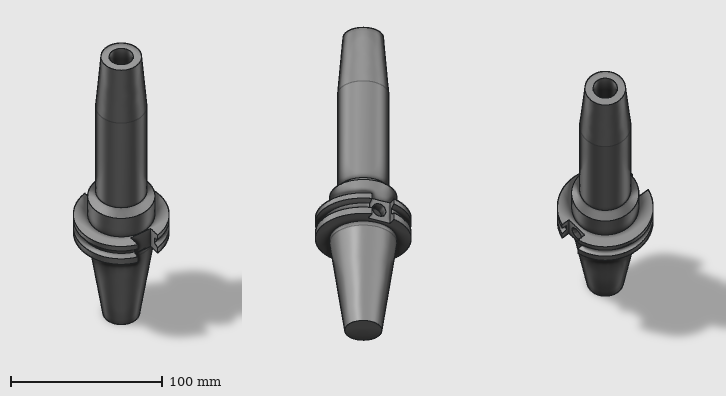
import cadquery as cq

TOTAL_HEIGHT = 228.2
GAUGE_Z = 68.2
FLANGE_BOTTOM_Z = 71.5
FLANGE_THICKNESS = 16.0
HUB_TOP_Z = 103.9
SHOULDER_TOP_Z = 108.6
NOSE_START_Z = 184.2

GAUGE_DIAMETER = 44.5
TAPER_RATIO = 7 / 24
FLANGE_DIAMETER = 63.5
SHANK_DIAMETER = 34.0
NOSE_DIAMETER = 27.0

GROOVE_ROOT_DIAMETER = 56.1
GROOVE_CENTER_Z = 80.0
GROOVE_MOUTH_WIDTH = 7.0
GROOVE_ROOT_WIDTH = 3.9

SLOT_WIDTH = 16.0
LEFT_SLOT_FLOOR = 24.9
RIGHT_SLOT_FLOOR = 22.5

BORE_DIAMETER = 16.0
BORE_DEPTH = 50.2
SIDE_HOLE_DIAMETER = 9.5
SIDE_HOLE_DEPTH = 6.8

flange_top_z = FLANGE_BOTTOM_Z + FLANGE_THICKNESS
flange_radius = FLANGE_DIAMETER / 2
hub_radius = GAUGE_DIAMETER / 2


def make_body():
    """Revolve the taper, flange, hub, shank and conical nose."""
    small_end_radius = (GAUGE_DIAMETER - TAPER_RATIO * GAUGE_Z) / 2
    shank_radius = SHANK_DIAMETER / 2
    profile = [
        (0, 0),
        (small_end_radius, 0),
        (hub_radius, GAUGE_Z),
        (hub_radius, FLANGE_BOTTOM_Z),
        (flange_radius, FLANGE_BOTTOM_Z),
        (flange_radius, flange_top_z),
        (hub_radius, flange_top_z),
        (hub_radius, HUB_TOP_Z),
        (shank_radius, SHOULDER_TOP_Z),
        (shank_radius, NOSE_START_Z),
        (NOSE_DIAMETER / 2, TOTAL_HEIGHT),
        (0, TOTAL_HEIGHT),
    ]
    return cq.Workplane("XZ").polyline(profile).close().revolve(360, (0, 0), (0, 1))


def make_groove():
    """Ring with a trapezoidal section, wider at the flange rim."""
    root_radius = GROOVE_ROOT_DIAMETER / 2
    half_mouth = GROOVE_MOUTH_WIDTH / 2
    half_root = GROOVE_ROOT_WIDTH / 2
    section = [
        (root_radius, GROOVE_CENTER_Z - half_root),
        (flange_radius, GROOVE_CENTER_Z - half_mouth),
        (flange_radius, GROOVE_CENTER_Z + half_mouth),
        (root_radius, GROOVE_CENTER_Z + half_root),
    ]
    return cq.Workplane("XZ").polyline(section).close().revolve(360, (0, 0), (0, 1))


def make_slot(side, floor):
    """Drive slot through the flange height; side is -1 or +1 along X."""
    center_x = side * (floor + flange_radius / 2)
    return (
        cq.Workplane("XY", origin=(center_x, 0, FLANGE_BOTTOM_Z))
        .rect(flange_radius, SLOT_WIDTH)
        .extrude(FLANGE_THICKNESS)
    )


def make_bore():
    """Blind tool bore in the top face."""
    return (
        cq.Workplane("XY", origin=(0, 0, TOTAL_HEIGHT - BORE_DEPTH))
        .circle(BORE_DIAMETER / 2)
        .extrude(BORE_DEPTH)
    )


def make_side_hole():
    """Blind hole in the floor of the -X slot."""
    return (
        cq.Workplane("YZ", origin=(-LEFT_SLOT_FLOOR, 0, GROOVE_CENTER_Z))
        .circle(SIDE_HOLE_DIAMETER / 2)
        .extrude(SIDE_HOLE_DEPTH)
    )


result = (
    make_body()
    .cut(make_groove())
    .cut(make_slot(-1, LEFT_SLOT_FLOOR))
    .cut(make_slot(1, RIGHT_SLOT_FLOOR))
    .cut(make_bore())
    .cut(make_side_hole())
)